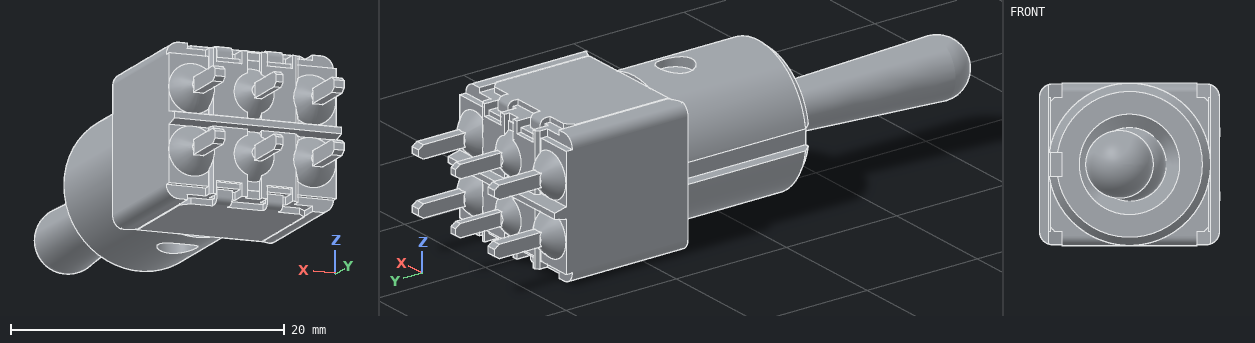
import cadquery as cq
import math


rear_embed = 1.0

case_width = 13.2
case_height = 11.8
case_corner_radius = 1.0
case_length = 10.95
flange_end = 10.4
side_plate_thickness = 0.67
side_plate_overhang = 0.1
corner_recess_depth = 0.45
core_corner_chamfer = 0.45
core_width = case_width - 2 * side_plate_thickness
core_height = case_height - 2 * case_corner_radius
side_gap_width = 0.13
side_gap_depth = 0.4

cover_width = 9.86
cover_height = 11.92
cover_end = 9.5
cover_bend_radius = 0.68
cover_rear_chamfer = 0.65
tab_width = 1.22
tab_end = 10.4
tab_offset = 2.0
tab_bend_radius = 0.5

block_start = 1.0
block_width = 7.0
block_height = 11.0
block_end = 11.33
block_shoulder_end = 10.4
block_corner_chamfer = 0.25
slot_width = 2.0
slot_front = 9.95
slot_depth = 1.0
notch_width = 1.1
notch_length = 0.45
ridge_end = 12.0
ridge_tip_width = 0.5
ridge_root_width = 1.0

terminal_pitch = 4.7
terminal_shift = 0.05
terminal_end = 16.34
terminal_height = 1.15
outer_terminal_width = 0.8
middle_terminal_width = 0.55
terminal_tip_length = 0.45
terminal_tip_rise = 0.3
dome_radius = 1.89
dome_mid_radius = 1.3
dome_mid_height = 0.65
dome_top_radius = 0.5
dome_height = 1.25

bushing_radius = 5.94
bushing_length = 12.0
bushing_chamfer_radial = 0.6
bushing_chamfer_axial = 0.7
dimple_radius = 1.5
dimple_floor = 5.05
dimple_crown = 0.25
bore_mouth_radius = 3.68
keyway_width = 1.75
keyway_floor = 4.95

pivot_y = -3.8
lever_tilt = 1.8
lever_reach = 29.45
ball_radius = 2.7
shank_root_radius = 1.5
knob_radius = 2.48


def box(x_min, x_max, y_min, y_max, z_min, z_max):
    size = (x_max - x_min, y_max - y_min, z_max - z_min)
    return cq.Workplane("XY").box(*size, centered=False).translate((x_min, y_min, z_min))


def centred_box(width, y_min, y_max, height):
    return box(-width / 2, width / 2, y_min, y_max, -height / 2, height / 2)


def make_shell():
    """Core with rounded corner flanges and side plates proud of the front."""
    frame_length = flange_end + side_plate_overhang
    frame = (
        centred_box(case_width, -side_plate_overhang, flange_end, case_height)
        .edges("|Y").fillet(case_corner_radius)
    )
    recess = (
        cq.Workplane("XY")
        .moveTo(-core_width / 2, -frame_length)
        .lineTo(-core_width / 2, 0)
        .lineTo(-cover_width / 2, corner_recess_depth)
        .lineTo(cover_width / 2, corner_recess_depth)
        .lineTo(core_width / 2, 0)
        .lineTo(core_width / 2, -frame_length)
        .close()
        .extrude(case_height, both=True)
    )
    channel = centred_box(cover_width, -frame_length, frame_length, case_height)
    core = (
        centred_box(core_width, 0, case_length, core_height)
        .edges("|Y").chamfer(core_corner_chamfer)
    )
    plate_rear = centred_box(case_width, flange_end - rear_embed, case_length, core_height)
    shell = frame.cut(recess).cut(channel).union(core).union(plate_rear)
    for side in (-1, 1):
        gap = centred_box(side_gap_width, 0, side_gap_depth, core_height)
        shell = shell.cut(gap.translate((side * (core_width - side_gap_width) / 2, 0, 0)))
    return shell


def make_cover():
    """Top and bottom straps with a bent front edge and two bent rear tabs each."""
    cover = (
        centred_box(cover_width, 0, cover_end, cover_height)
        .faces("<Y").edges("|X").fillet(cover_bend_radius)
        .faces(">Y").edges("|Z").chamfer(cover_rear_chamfer)
    )
    for side in (-1, 1):
        tab = (
            centred_box(tab_width, cover_end - rear_embed, tab_end, cover_height)
            .faces(">Y").edges("|X").fillet(tab_bend_radius)
        )
        cover = cover.union(tab.translate((side * tab_offset, 0, 0)))
    return cover


def make_rear_block():
    """Stepped block with slots for the cover tabs and a notch over the middle terminals."""
    block = (
        centred_box(block_width, block_start, block_end, block_height)
        .faces(">Y").edges("|Z").chamfer(block_corner_chamfer)
        .union(centred_box(cover_width, block_start, block_shoulder_end, block_height))
    )
    slot_inner = block_height / 2 - slot_depth
    for side in (-1, 1):
        for x in (-tab_offset, tab_offset):
            slot = box(-slot_width / 2, slot_width / 2, slot_front, block_end, 0, slot_depth)
            z = slot_inner if side > 0 else -block_height / 2
            block = block.cut(slot.translate((x, 0, z)))
    notch = centred_box(notch_width, block_end - notch_length, block_end, block_height)
    return block.cut(notch)


def make_ridge():
    """Tapered barrier across the rear face, between the two terminal rows."""
    root = ridge_root_width / 2
    tip = ridge_tip_width / 2
    return (
        cq.Workplane("YZ")
        .moveTo(case_length - rear_embed, -root)
        .lineTo(case_length, -root)
        .lineTo(ridge_end, -tip)
        .lineTo(ridge_end, tip)
        .lineTo(case_length, root)
        .lineTo(case_length - rear_embed, root)
        .close()
        .extrude(case_width / 2, both=True)
    )


def make_terminal(width):
    """Flat terminal with a tapered tip, standing in a sealing dome."""
    half = terminal_height / 2
    blade = (
        cq.Workplane("YZ")
        .moveTo(case_length - rear_embed, -half)
        .lineTo(terminal_end - terminal_tip_length, -half)
        .lineTo(terminal_end, -half + terminal_tip_rise)
        .lineTo(terminal_end, half - terminal_tip_rise)
        .lineTo(terminal_end - terminal_tip_length, half)
        .lineTo(case_length - rear_embed, half)
        .close()
        .extrude(width / 2, both=True)
    )
    dome = (
        cq.Workplane("XY")
        .moveTo(0, case_length)
        .lineTo(dome_radius, case_length)
        .threePointArc(
            (dome_mid_radius, case_length + dome_mid_height),
            (dome_top_radius, case_length + dome_height),
        )
        .lineTo(0, case_length + dome_height)
        .close()
        .revolve(360, (0, 0, 0), (0, 1, 0))
    )
    return blade.union(dome)


def make_bushing():
    """Chamfered barrel with a keyway along its -X side."""
    chamfer_start = -bushing_length + bushing_chamfer_axial
    barrel = (
        cq.Workplane("XY")
        .moveTo(0, 0)
        .lineTo(bushing_radius, 0)
        .lineTo(bushing_radius, chamfer_start)
        .lineTo(bushing_radius - bushing_chamfer_radial, -bushing_length)
        .lineTo(0, -bushing_length)
        .close()
        .revolve(360, (0, 0, 0), (0, 1, 0))
    )
    keyway = box(
        -case_width / 2, -keyway_floor, -bushing_length, 0, -keyway_width / 2, keyway_width / 2
    )
    return barrel.cut(keyway)


def make_bore():
    """Tapered bore ending in a round seat for the lever ball."""
    diagonal = ball_radius * math.sqrt(0.5)
    return (
        cq.Workplane("XY")
        .moveTo(0, -bushing_length)
        .lineTo(bore_mouth_radius, -bushing_length)
        .lineTo(ball_radius, pivot_y)
        .threePointArc((diagonal, pivot_y + diagonal), (0, pivot_y + ball_radius))
        .close()
        .revolve(360, (0, 0, 0), (0, 1, 0))
    )


def make_dimple():
    """Blind round recess with a domed floor, on top of the bushing above the pivot."""
    crown_sphere_radius = (dimple_radius**2 + dimple_crown**2) / (2 * dimple_crown)
    crown_centre = dimple_floor + dimple_crown - crown_sphere_radius
    dome = cq.Workplane("XY").sphere(crown_sphere_radius).translate((0, 0, crown_centre))
    dimple = cq.Workplane("XY", origin=(0, 0, dimple_floor)).circle(dimple_radius)
    dimple = dimple.extrude(2 * (bushing_radius - dimple_floor))
    return dimple.cut(dome).translate((0, pivot_y, 0))


def make_housing():
    housing = make_shell().union(make_cover()).union(make_rear_block()).union(make_ridge())
    housing = housing.union(make_bushing()).cut(make_bore())
    dimple = make_dimple()
    housing = housing.cut(dimple).cut(dimple.mirror("XY"))
    for column in (-1, 0, 1):
        width = outer_terminal_width if column else middle_terminal_width
        x = terminal_shift + column * terminal_pitch
        for row in (-1, 1):
            terminal = make_terminal(width).translate((x, 0, row * terminal_pitch / 2))
            housing = housing.union(terminal)
    return housing


def make_lever():
    """Tapered lever with a round knob and a pivot ball."""
    tilt = math.radians(lever_tilt)
    knob_distance = (lever_reach - knob_radius + pivot_y) / math.cos(tilt)
    knob_y = pivot_y - knob_distance
    diagonal = knob_radius * math.sqrt(0.5)
    shank = (
        cq.Workplane("XY")
        .moveTo(0, pivot_y)
        .lineTo(shank_root_radius, pivot_y)
        .lineTo(knob_radius, knob_y)
        .threePointArc((diagonal, knob_y - diagonal), (0, knob_y - knob_radius))
        .close()
        .revolve(360, (0, 0, 0), (0, 1, 0))
        .rotate((0, pivot_y, 0), (0, pivot_y, 1), -lever_tilt)
    )
    ball = cq.Workplane("XY").sphere(ball_radius).translate((0, pivot_y, 0))
    return shank.union(ball)


housing = make_housing()
lever = make_lever()
result = cq.Compound.makeCompound([housing.solids().val(), lever.solids().val()])